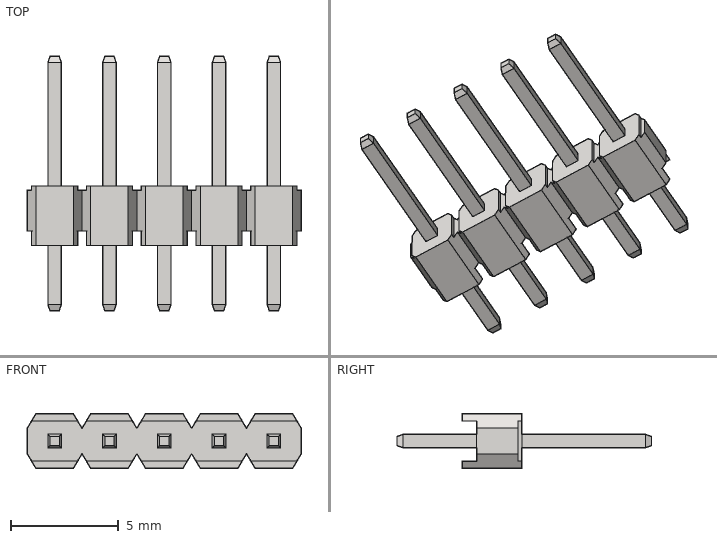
import cadquery as cq

pin_count = 5
pitch = 2.54
body_height = 2.54
body_depth = 2.77
row_length = pin_count * pitch

flat_width = 1.74
notch_depth = 0.67
bevel_width = (pitch - flat_width) / 2

flange_thickness = 0.34
front_overhang = 0.67
back_overhang = 0.19

pin_width = 0.64
pin_tip_width = 0.43
pin_tip_length = 0.29
pin_front_length = 3.02
pin_back_length = 6.01

recess_height = body_height - 2 * flange_thickness
flange_inner_width = flat_width + 2 * bevel_width * flange_thickness / notch_depth

pin_positions = [(i - (pin_count - 1) / 2) * pitch for i in range(pin_count)]


def xz_prism(sketch, y_start, length):
    """Extrude a closed XZ outline toward +Y from y_start."""
    return sketch.extrude(-length).translate((0, y_start, 0))


def row_edge(side):
    """Zigzag edge from left to right along the top (side = 1) or bottom (side = -1)."""
    outer_z = side * body_height / 2
    notch_z = side * (body_height / 2 - notch_depth)
    points = [(-row_length / 2, notch_z)]
    for x in pin_positions:
        points.append((x - flat_width / 2, outer_z))
        points.append((x + flat_width / 2, outer_z))
        points.append((x + pitch / 2, notch_z))
    return points


def make_body():
    outline = row_edge(1) + row_edge(-1)[::-1]
    body = xz_prism(cq.Workplane("XZ").polyline(outline).close(), 0, body_depth)
    front_recess = xz_prism(cq.Workplane("XZ").rect(row_length, recess_height), 0, front_overhang)
    back_recess = xz_prism(
        cq.Workplane("XZ").rect(row_length, recess_height), body_depth - back_overhang, back_overhang
    )
    return body.cut(front_recess).cut(back_recess)


def make_standoff(x):
    """Block that fills the back recess behind one module, flush with the flanges."""
    block = cq.Workplane("XZ").center(x, 0).rect(flange_inner_width, recess_height)
    return xz_prism(block, body_depth - back_overhang, back_overhang)


def make_pin_tip(x, y_base, direction):
    """Square taper from y_base outward, toward +Y (direction = 1) or -Y (direction = -1)."""
    return (
        cq.Workplane(cq.Plane((x, y_base, 0), (1, 0, 0), (0, direction, 0)))
        .rect(pin_width, pin_width)
        .workplane(offset=pin_tip_length)
        .rect(pin_tip_width, pin_tip_width)
        .loft(ruled=True)
    )


def make_pin(x):
    y_front = pin_tip_length - pin_front_length
    y_back = body_depth + pin_back_length - pin_tip_length
    shank = xz_prism(cq.Workplane("XZ").center(x, 0).rect(pin_width, pin_width), y_front, y_back - y_front)
    return shank.union(make_pin_tip(x, y_front, -1)).union(make_pin_tip(x, y_back, 1))


result = make_body()
for pin_x in pin_positions:
    result = result.union(make_standoff(pin_x)).union(make_pin(pin_x))